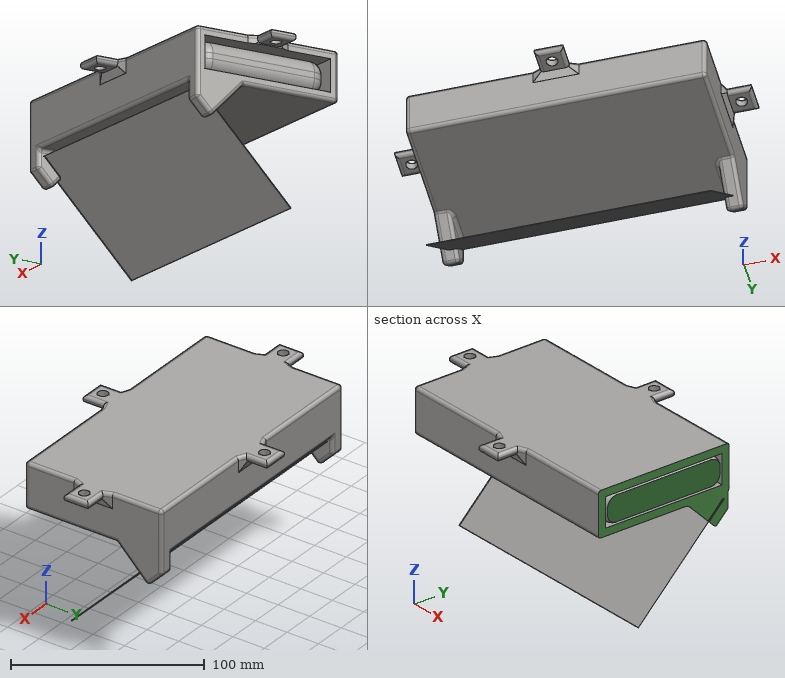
import cadquery as cq
import math

total_length = 190.0
total_width = 117.0
tab_reach = 15.0
length = total_length - 2 * tab_reach
width = total_width - 2 * tab_reach
back = width / 2
height = 28.0
wall = 5.0
edge_radius = 2.0

pocket_length = length - wall
pocket_width = width - 2 * wall
pocket_height = height - 2 * wall

tab_width = 15.4
tab_thickness = 4.4
hole_diameter = 6.0
hole_from_tab_end = 7.2

flare_reach = 1.9
flare_spread = 4.5
flare_sink = 0.8

slope_degrees = 45
diagonal = math.cos(math.radians(slope_degrees))
leg_thickness = 9.0
leg_back_height = 38.4
leg_end_width = 13.0

flap_width = 151.2
flap_length = 80.0
flap_thickness = 0.4
flap_bottom = -88.2
flap_from_leg_end = 7.6

block_recess = 4.0
block_length = pocket_length - block_recess
block_radius = 7.5


def make_body():
    """Block with two legs; all outer edges are rounded except those of the top face."""
    tip_y = back - leg_end_width * diagonal
    tip_z = -leg_back_height - leg_end_width * diagonal
    leg_root_y = tip_y - (-height - tip_z)
    profile = [
        (-back, 0),
        (back, 0),
        (back, -leg_back_height),
        (tip_y, tip_z),
        (leg_root_y, -height),
        (-back, -height),
    ]
    body = cq.Workplane("YZ").polyline(profile).close().extrude(length / 2, both=True)

    gap = cq.Workplane("XY").box(length - 2 * leg_thickness, width, height)
    body = body.cut(gap.translate((0, 0, -1.5 * height)))

    below_top = cq.selectors.BoxSelector((-length, -width, -total_width), (length, width, -edge_radius))
    leg_roots = cq.selectors.BoxSelector(
        (-length, leg_root_y - edge_radius, -height - edge_radius),
        (length, back - edge_radius, -height + edge_radius),
    )
    body = body.edges(below_top - leg_roots).fillet(edge_radius)
    return body.edges("|Y").edges(leg_roots).fillet(edge_radius)


def make_tab():
    """Tab along +X from a wall at X = 0, with a flared root; its top edges are still sharp."""
    plate_length = tab_reach + wall
    plate = (
        cq.Workplane("XY")
        .box(plate_length, tab_width, tab_thickness)
        .translate((plate_length / 2 - wall, 0, -tab_thickness / 2))
        .edges("<Z")
        .edges(">X or |X")
        .fillet(edge_radius)
    )
    root_depth = tab_thickness + flare_spread
    flare_length = flare_reach * (1 + flare_sink / flare_spread)
    flare = (
        cq.Workplane("YZ")
        .center(0, -root_depth / 2)
        .rect(tab_width + 2 * flare_spread, root_depth)
        .workplane(offset=flare_length)
        .center(0, (flare_spread + flare_sink) / 2)
        .rect(tab_width - 2 * flare_sink, tab_thickness - flare_sink)
        .loft(ruled=True)
    )
    return plate.union(flare)


def make_tab_holes():
    hole_x = total_length / 2 - hole_from_tab_end
    hole_y = total_width / 2 - hole_from_tab_end
    return (
        cq.Workplane("XY")
        .pushPoints([(hole_x, 0), (0, hole_y), (-hole_x, 0), (0, -hole_y)])
        .circle(hole_diameter / 2)
        .extrude(-tab_thickness)
    )


def make_pocket():
    """Pocket volume; it runs out past the -X face so that it also cuts the flare there."""
    cut_length = pocket_length + tab_reach
    pocket = cq.Workplane("XY").box(cut_length, pocket_width, pocket_height)
    return pocket.translate((length / 2 - wall - cut_length / 2, 0, -height / 2))


def make_housing(flap):
    housing = make_body()
    for angle, wall_distance in [(0, length / 2), (90, back), (180, length / 2), (270, back)]:
        tab = make_tab().translate((wall_distance, 0, 0))
        housing = housing.union(tab.rotate((0, 0, 0), (0, 0, 1), angle))
    housing = housing.faces(">Z").edges().fillet(edge_radius)
    housing = housing.cut(make_tab_holes())
    housing = housing.cut(make_pocket())
    return housing.cut(flap)


def make_flap():
    """Thin sheet that slopes down from the legs towards -Y."""
    centre_z = flap_bottom + (flap_length + flap_thickness) / 2 * diagonal
    y_minus_z = back + leg_back_height - flap_from_leg_end / diagonal
    return (
        cq.Workplane("XY")
        .box(flap_width, flap_length, flap_thickness)
        .rotate((0, 0, 0), (1, 0, 0), slope_degrees)
        .translate((0, centre_z + y_minus_z, centre_z))
    )


def make_block():
    """Block with all edges rounded, resting against the closed end of the pocket."""
    block = cq.Workplane("XY").box(block_length, pocket_width, pocket_height).edges().fillet(block_radius)
    return block.translate((length / 2 - wall - block_length / 2, 0, -height / 2))


flap = make_flap()
housing = make_housing(flap)
block = make_block()
result = cq.Compound.makeCompound([housing.solids().val(), block.solids().val(), flap.val()])